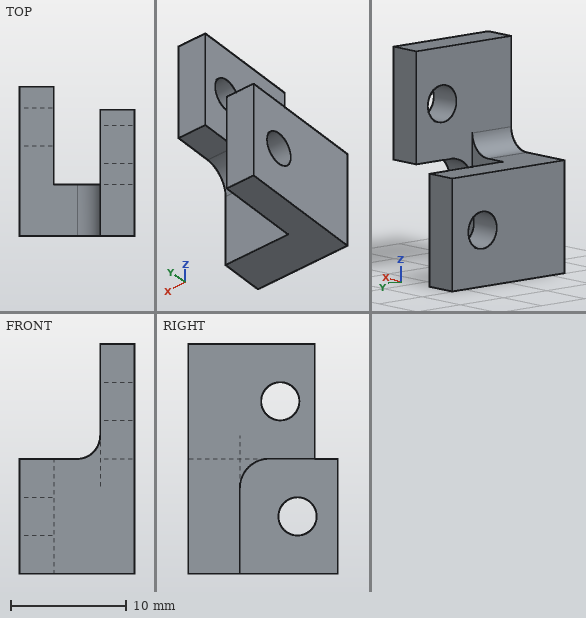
import cadquery as cq

width = 10.0
height = 20.0
base_height = 10.0
base_depth = 4.5

arm_thickness = 3.0
low_arm_length = 13.0
high_arm_length = 11.0

base_corner_radius = 2.0
overhang_corner_radius = 2.5

hole_diameter = 3.3
low_hole_y = 9.5
high_hole_y = 8.0

high_arm_x = width - arm_thickness
low_hole_z = base_height / 2
high_hole_z = (base_height + height) / 2


def make_front_body():
    """L-shaped body, rounded where the base meets the upright wall."""
    profile = (
        cq.Workplane("XZ")
        .lineTo(width, 0)
        .lineTo(width, height)
        .lineTo(high_arm_x, height)
        .lineTo(high_arm_x, base_height + base_corner_radius)
        .radiusArc((high_arm_x - base_corner_radius, base_height), base_corner_radius)
        .lineTo(0, base_height)
        .close()
    )
    return profile.extrude(-base_depth)


def make_low_arm():
    """Flat arm as tall as the base, on the low X side."""
    return cq.Workplane("XY").box(arm_thickness, low_arm_length, base_height, centered=False)


def make_high_arm():
    """Upright wall and its overhanging arm, rounded under the overhang."""
    profile = (
        cq.Workplane("YZ", origin=(high_arm_x, 0, 0))
        .lineTo(base_depth, 0)
        .lineTo(base_depth, base_height - overhang_corner_radius)
        .radiusArc((base_depth + overhang_corner_radius, base_height), overhang_corner_radius)
        .lineTo(high_arm_length, base_height)
        .lineTo(high_arm_length, height)
        .lineTo(0, height)
        .close()
    )
    return profile.extrude(arm_thickness)


def make_cross_hole(y, z):
    """Cylinder along X across the full width."""
    return cq.Workplane("YZ").center(y, z).circle(hole_diameter / 2).extrude(width)


result = make_front_body().union(make_low_arm()).union(make_high_arm())
for hole_y, hole_z in ((low_hole_y, low_hole_z), (high_hole_y, high_hole_z)):
    result = result.cut(make_cross_hole(hole_y, hole_z))